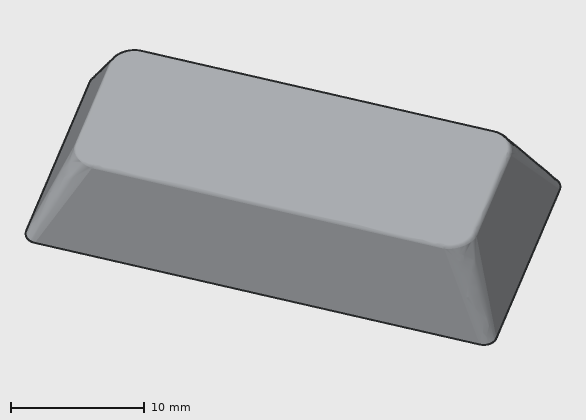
import cadquery as cq

length = 37.05
width = 18.0
height = 7.0
base_corner_radius = 1.0

top_inset = 2.85
top_corner_radius = 2.0
top_edge_radius = 0.6


def rounded_outline(inset, corner_radius):
    """Base rectangle moved inward by the inset, with rounded corners."""
    return cq.Sketch().rect(length - 2 * inset, width - 2 * inset).vertices().fillet(corner_radius)


base_outline = rounded_outline(0, base_corner_radius)
top_outline = rounded_outline(top_inset, top_corner_radius).moved(cq.Location(cq.Vector(0, 0, height)))

body = cq.Workplane("XY").placeSketch(base_outline, top_outline).loft(ruled=True)

result = body.faces(">Z").edges().fillet(top_edge_radius)